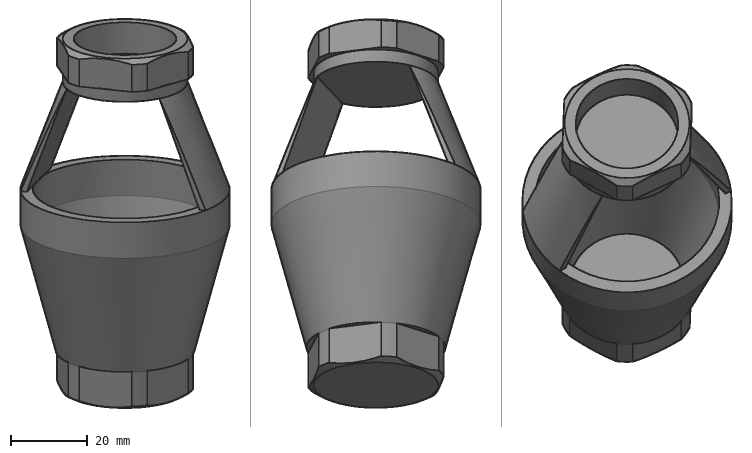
import cadquery as cq
import math

total_height = 96.0
lower_nut_height = 10.6
cone_top = 44.9
cup_top = 54.7
collar_bottom = 84.1
upper_nut_bottom = 87.5

cup_radius = 27.3
cup_bore_radius = 24.0
collar_radius = 16.2
upper_bore_radius = 13.3
wall = cup_radius - cup_bore_radius

nut_across_flats = 33.2
nut_corner_radius = 18.1
nut_bevel_radius = 16.2
nut_bevel_angle = 30.0

arm_width = 20.3
window_bottom_half_width = 23.6
window_top_half_width = 12.7


def turned(points):
    """Revolve a closed (radius, height) outline about the Z axis."""
    return cq.Workplane("XZ").polyline(points).close().revolve(360, (0, 0), (0, 1))


def nut(height):
    """Hexagon standing on Z = 0, with its corners rounded and its top end bevelled."""
    across_corners = nut_across_flats / math.cos(math.radians(30))
    bevel_drop = (nut_corner_radius - nut_bevel_radius) * math.tan(math.radians(nut_bevel_angle))
    hexagon = cq.Workplane("XY").polygon(6, across_corners).extrude(height)
    envelope = turned([
        (0, 0),
        (nut_corner_radius, 0),
        (nut_corner_radius, height - bevel_drop),
        (nut_bevel_radius, height),
        (0, height),
    ])
    return hexagon.intersect(envelope)


def cup():
    """Conical cup with a straight rim and a wall of constant radial thickness."""
    outside = turned([
        (0, lower_nut_height),
        (nut_corner_radius, lower_nut_height),
        (cup_radius, cone_top),
        (cup_radius, cup_top),
        (0, cup_top),
    ])
    inside = turned([
        (0, lower_nut_height),
        (nut_corner_radius - wall, lower_nut_height),
        (cup_bore_radius, cone_top),
        (cup_bore_radius, cup_top),
        (0, cup_top),
    ])
    return outside.cut(inside)


def arms():
    """Two arms left from a cone, trimmed to width and opened by a tapered window."""
    cone = turned([
        (0, cup_top),
        (cup_radius, cup_top),
        (collar_radius, collar_bottom),
        (0, collar_bottom),
    ])
    arm_height = collar_bottom - cup_top
    slab = (
        cq.Workplane("XY", origin=(0, 0, cup_top))
        .rect(2 * cup_radius, arm_width)
        .extrude(arm_height)
    )
    window = (
        cq.Workplane("XZ")
        .polyline([
            (-window_bottom_half_width, cup_top),
            (window_bottom_half_width, cup_top),
            (window_top_half_width, collar_bottom),
            (-window_top_half_width, collar_bottom),
        ])
        .close()
        .extrude(arm_width, both=True)
    )
    return cone.intersect(slab).cut(window)


def head():
    """Collar that joins the arms, topped by a nut with a blind bore down to the collar."""
    collar = (
        cq.Workplane("XY", origin=(0, 0, collar_bottom))
        .circle(collar_radius)
        .extrude(upper_nut_bottom - collar_bottom)
    )
    nut_height = total_height - upper_nut_bottom
    bore = cq.Workplane("XY").circle(upper_bore_radius).extrude(nut_height)
    bored_nut = nut(nut_height).cut(bore)
    return collar.union(bored_nut.translate((0, 0, upper_nut_bottom)))


lower_nut = nut(lower_nut_height).mirror("XY").translate((0, 0, lower_nut_height))

result = lower_nut.union(cup()).union(arms()).union(head())